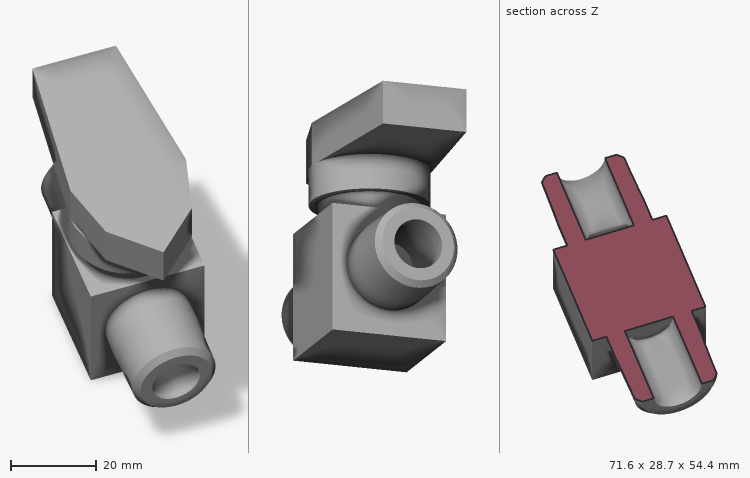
import cadquery as cq

body_length = 27.2
body_width = 28.3
body_height = 30.95

pipe_axis_height = 16.75
pipe_half_length = 33.6
pipe_radius = 10.7
taper_start = 20.0
taper_end_radius = 10.3
end_chamfer = 1.4
bore_radius = 5.95
bore_depth = 20.0

stem_radius = 12.1
stem_height = 4.5
collar_radius = 14.3
collar_height = 8.45

handle_thickness = 10.45
handle_back = -38.0
handle_back_half_width = 10.4
handle_half_width = 14.36
handle_shoulder = 14.4
handle_shoulder_half_width = 10.7
handle_tip = 24.8


def make_body():
    return cq.Workplane("XY").box(body_length, body_width, body_height, centered=(True, True, False))


def make_pipe_end():
    """Tapered, chamfered pipe end pointing along +X."""
    chamfer_start = pipe_half_length - end_chamfer
    profile = [
        (0, 0),
        (0, pipe_radius),
        (taper_start, pipe_radius),
        (chamfer_start, taper_end_radius),
        (pipe_half_length, taper_end_radius - end_chamfer),
        (pipe_half_length, 0),
    ]
    pipe = cq.Workplane("XZ").polyline(profile).close().revolve(360, (0, 0, 0), (1, 0, 0))
    return pipe.translate((0, 0, pipe_axis_height))


def make_bore():
    """Blind bore entering the pipe end on the +X side."""
    bore = cq.Workplane("YZ").circle(bore_radius).extrude(bore_depth)
    return bore.translate((pipe_half_length - bore_depth, 0, pipe_axis_height))


def make_stem():
    stem = cq.Workplane("XY").workplane(offset=body_height).circle(stem_radius).extrude(stem_height)
    return stem.faces(">Z").workplane().circle(collar_radius).extrude(collar_height)


def make_handle():
    """Flat lever with a wide middle, a blunt back and a pointed front."""
    outline = [
        (handle_back, handle_back_half_width),
        (0, handle_half_width),
        (handle_shoulder, handle_shoulder_half_width),
        (handle_tip, 0),
        (handle_shoulder, -handle_shoulder_half_width),
        (0, -handle_half_width),
        (handle_back, -handle_back_half_width),
    ]
    handle_base = body_height + stem_height + collar_height
    return cq.Workplane("XY").workplane(offset=handle_base).polyline(outline).close().extrude(handle_thickness)


result = make_body().union(make_stem()).union(make_handle())

stem_axis = ((0, 0, 0), (0, 0, 1))
for angle in (0, 180):
    result = result.union(make_pipe_end().rotate(*stem_axis, angle))
for angle in (0, 180):
    result = result.cut(make_bore().rotate(*stem_axis, angle))